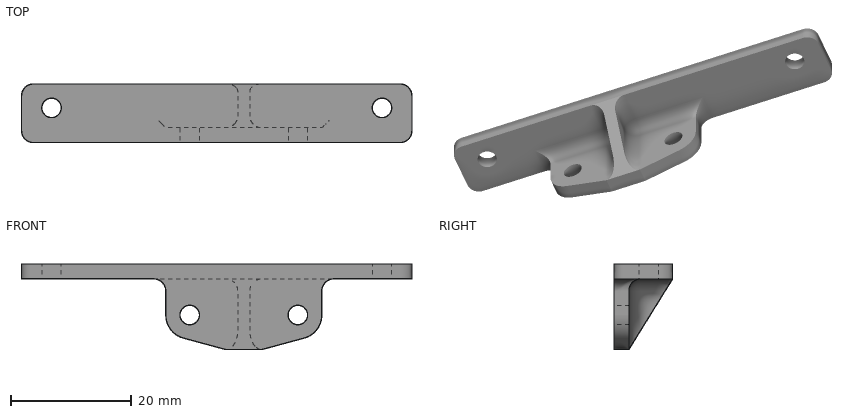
import cadquery as cq
import math

plate_middle_x = -4.5
plate_length = 65.0
plate_depth = 9.8
plate_thickness = 2.5
plate_corner_radius = 2.0

hole_diameter = 3.2
plate_hole_end_distance = 5.0
plate_hole_back_distance = 4.0
lug_hole_spacing = 18.0
lug_hole_drop = 8.5

total_height = 14.27
lug_thickness = 2.5
lug_corner_radius = 4.0
rib_thickness = 2.0
inner_fillet_radius = 2.0

flat_half_width = rib_thickness / 2 + inner_fillet_radius
lug_hole_x = lug_hole_spacing / 2
lug_half_width = lug_hole_x + lug_corner_radius


def make_plate():
    plate = cq.Workplane("XY").box(
        plate_length, plate_depth, plate_thickness, centered=(True, False, False)
    )
    plate = plate.translate((plate_middle_x, 0, -plate_thickness))
    return plate.edges("|Z").fillet(plate_corner_radius)


def corner_arc_point(angle):
    """Point on the right corner arc of the lug, by angle below the X direction."""
    x = lug_hole_x + lug_corner_radius * math.cos(angle)
    z = -lug_hole_drop - lug_corner_radius * math.sin(angle)
    return x, z


def make_stem():
    """Square-cornered lug and rib, a T in plan, hanging below the plate."""
    stem_height = total_height - plate_thickness
    lug = cq.Workplane("XY").box(
        2 * lug_half_width, lug_thickness, stem_height, centered=(True, False, False)
    )
    rib = cq.Workplane("XY").box(
        rib_thickness, plate_depth, stem_height, centered=(True, False, False)
    )
    return lug.union(rib).translate((0, 0, -total_height))


def fillet_inner_corners(body):
    """Round the two rib-to-lug corners and the stem-to-plate corners."""
    margin = 0.1
    rib_sides = cq.selectors.BoxSelector(
        (-rib_thickness / 2 - margin, lug_thickness - margin, -total_height),
        (rib_thickness / 2 + margin, lug_thickness + margin, -plate_thickness),
    )
    plate_underside = cq.selectors.BoxSelector(
        (-lug_half_width - margin, margin, -plate_thickness - margin),
        (lug_half_width + margin, plate_depth - margin, -plate_thickness + margin),
    )
    body = body.edges("|Z").edges(rib_sides).fillet(inner_fillet_radius)
    return body.edges(plate_underside).fillet(inner_fillet_radius)


def cut_rib_slope(body):
    """Slope the rib from the back of the plate to the foot of the lug."""
    waste = (
        cq.Workplane("YZ")
        .moveTo(plate_depth, -plate_thickness)
        .lineTo(plate_depth, -total_height)
        .lineTo(lug_thickness, -total_height)
        .close()
        .extrude(lug_half_width, both=True)
    )
    return body.cut(waste)


def cut_lug_corners(body):
    """Trim both lower lug corners to an arc around the hole and a tangent slope."""
    run = lug_hole_x - flat_half_width
    rise = total_height - lug_hole_drop
    centre_direction = math.atan2(rise, run)
    tangent_offset = math.acos(lug_corner_radius / math.hypot(run, rise))
    tangent_angle = math.pi - centre_direction - tangent_offset
    waste = (
        cq.Workplane("XZ")
        .moveTo(lug_half_width, -lug_hole_drop)
        .threePointArc(corner_arc_point(tangent_angle / 2), corner_arc_point(tangent_angle))
        .lineTo(flat_half_width, -total_height)
        .lineTo(lug_half_width, -total_height)
        .close()
        .extrude(-lug_thickness)
    )
    return body.cut(waste).cut(waste.mirror("YZ"))


def cut_plate_holes(body):
    half_spacing = plate_length / 2 - plate_hole_end_distance
    left_x = plate_middle_x - half_spacing
    right_x = plate_middle_x + half_spacing
    hole_y = plate_depth - plate_hole_back_distance
    drills = (
        cq.Workplane("XY")
        .pushPoints([(left_x, hole_y), (right_x, hole_y)])
        .circle(hole_diameter / 2)
        .extrude(-plate_thickness)
    )
    return body.cut(drills)


def cut_lug_holes(body):
    drills = (
        cq.Workplane("XZ")
        .pushPoints([(-lug_hole_x, -lug_hole_drop), (lug_hole_x, -lug_hole_drop)])
        .circle(hole_diameter / 2)
        .extrude(-lug_thickness)
    )
    return body.cut(drills)


result = make_plate().union(make_stem())
result = fillet_inner_corners(result)
result = cut_rib_slope(result)
result = cut_lug_corners(result)
result = cut_plate_holes(result)
result = cut_lug_holes(result)